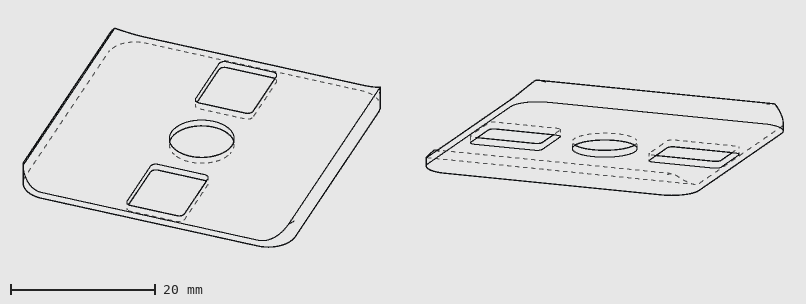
import cadquery as cq
import math

side = 40.0
half_side = side / 2
total_height = 3.1
plate_thickness = 1.0
corner_radius = 4.0

lip_width = 4.0
crest_rounding = 0.35
curve_run = lip_width - crest_rounding
curve_rise = total_height - plate_thickness
curve_radius = (curve_run**2 + curve_rise**2) / (2 * curve_rise)
curve_sweep = math.asin(curve_run / curve_radius)

hole_diameter = 8.95
window_width = 8.5
window_length = 10.55
window_offset = 13.2
window_corner_radius = 0.8


def dished_plate():
    """Square plate with rounded corners and a concave lip on each X side."""
    floor_x = half_side - lip_width
    crest_x = half_side - crest_rounding
    mid_x = floor_x + curve_radius * math.sin(curve_sweep / 2)
    mid_z = plate_thickness + curve_radius * (1 - math.cos(curve_sweep / 2))
    rounding_end_z = total_height - crest_rounding
    profile = (
        cq.Workplane("XZ")
        .moveTo(-half_side, 0)
        .lineTo(half_side, 0)
        .lineTo(half_side, rounding_end_z)
        .radiusArc((crest_x, total_height), -crest_rounding)
        .threePointArc((mid_x, mid_z), (floor_x, plate_thickness))
        .lineTo(-floor_x, plate_thickness)
        .threePointArc((-mid_x, mid_z), (-crest_x, total_height))
        .radiusArc((-half_side, rounding_end_z), -crest_rounding)
        .close()
    )
    body = profile.extrude(half_side, both=True)
    outline = (
        cq.Workplane("XY")
        .rect(side, side)
        .extrude(total_height)
        .edges("|Z")
        .fillet(corner_radius)
    )
    return body.intersect(outline)


def centre_hole():
    return cq.Workplane("XY").circle(hole_diameter / 2).extrude(total_height)


def windows():
    """Two rounded rectangular openings, one on each side of the centre hole."""
    return (
        cq.Workplane("XY")
        .pushPoints([(0, -window_offset), (0, window_offset)])
        .rect(window_width, window_length)
        .extrude(total_height)
        .edges("|Z")
        .fillet(window_corner_radius)
    )


result = dished_plate().cut(centre_hole()).cut(windows())